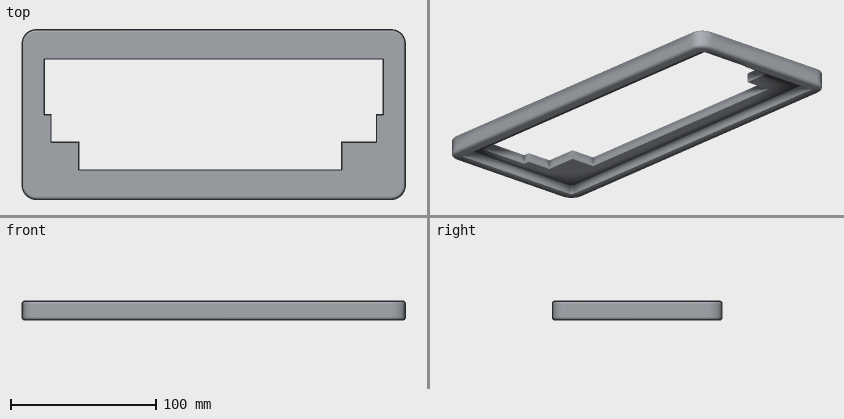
import cadquery as cq

length = 264.0
width = 117.0
height = 13.0
corner_radius = 10.0
edge_fillet = 2.0

key_pitch = 19.05
opening_length = 12.25 * key_pitch
opening_width = 4 * key_pitch
side_step = 0.25 * key_pitch
left_corner_step = 1.0 * key_pitch
right_corner_step = 1.25 * key_pitch

plate_thickness = 6.5
wall_thickness = 8.0


def frame_body():
    """Rounded block with its top and bottom rims filleted."""
    block = cq.Workplane("XY").box(length, width, height, centered=(True, True, False))
    block = block.edges("|Z").fillet(corner_radius)
    return block.faces("<Z or >Z").edges().fillet(edge_fillet)


def key_opening():
    """Stepped cutter through the full height, narrower in the two front key rows."""
    left = -opening_length / 2
    right = opening_length / 2
    back = opening_width / 2
    front = -opening_width / 2
    second_row = front + key_pitch
    third_row = second_row + key_pitch
    outline = [
        (left, back),
        (right, back),
        (right, third_row),
        (right - side_step, third_row),
        (right - side_step, second_row),
        (right - side_step - right_corner_step, second_row),
        (right - side_step - right_corner_step, front),
        (left + side_step + left_corner_step, front),
        (left + side_step + left_corner_step, second_row),
        (left + side_step, second_row),
        (left + side_step, third_row),
        (left, third_row),
    ]
    return cq.Workplane("XY").polyline(outline).close().extrude(height)


def underside_recess():
    """Cutter for the recess below the top plate, its corners concentric with the frame."""
    recess = cq.Workplane("XY").box(
        length - 2 * wall_thickness,
        width - 2 * wall_thickness,
        height - plate_thickness,
        centered=(True, True, False),
    )
    return recess.edges("|Z").fillet(corner_radius - wall_thickness)


result = frame_body().cut(underside_recess()).cut(key_opening())